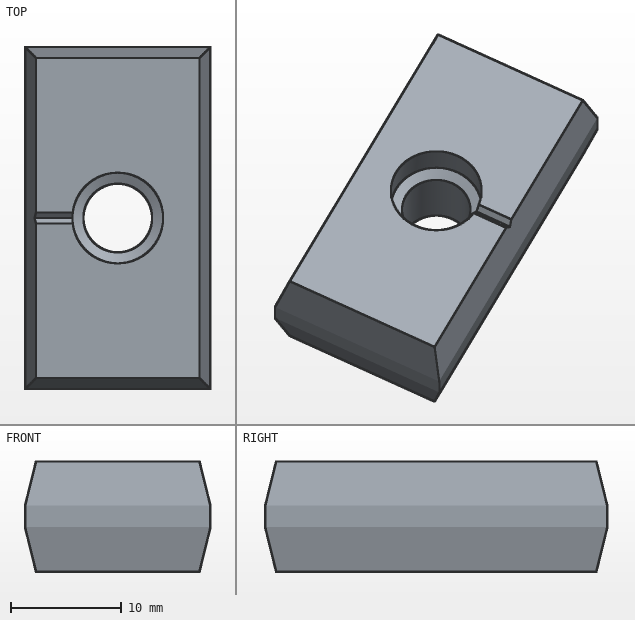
import cadquery as cq

width = 16.8
length = 31.0
height = 10.0
band_height = 1.98
end_inset = 1.0

bore_diameter = 6.2
counterbore_diameter = 8.2
counterbore_depth = 3.0
cone_depth = 0.45

groove_depth = 0.5
groove_half_width = 0.5

top = height / 2
band_half = band_height / 2


def tapered_half(direction):
    """Half of the block beyond the band, above (+1) or below (-1)."""
    return (
        cq.Workplane("XY", origin=(0, 0, direction * band_half))
        .rect(width, length)
        .workplane(offset=direction * (top - band_half))
        .rect(width - 2 * end_inset, length - 2 * end_inset)
        .loft(ruled=True)
    )


def stepped_hole():
    """Counterbore narrowing through a conical floor to the through bore."""
    bore_radius = bore_diameter / 2
    counterbore_radius = counterbore_diameter / 2
    floor = top - counterbore_depth
    return (
        cq.Workplane("XZ")
        .moveTo(0, -top)
        .lineTo(bore_radius, -top)
        .lineTo(bore_radius, floor - cone_depth)
        .lineTo(counterbore_radius, floor)
        .lineTo(counterbore_radius, top)
        .lineTo(0, top)
        .close()
        .revolve(360, (0, 0, 0), (0, 1, 0))
    )


def marking_groove():
    """V-shaped cut running along X from the side to the hole centre."""
    return (
        cq.Workplane("YZ", origin=(-width / 2, 0, 0))
        .moveTo(-groove_half_width, top)
        .lineTo(0, top - groove_depth)
        .lineTo(groove_half_width, top)
        .close()
        .extrude(width / 2)
    )


band = cq.Workplane("XY").box(width, length, band_height)
block = band.union(tapered_half(1)).union(tapered_half(-1))
result = block.cut(stepped_hole()).cut(marking_groove())